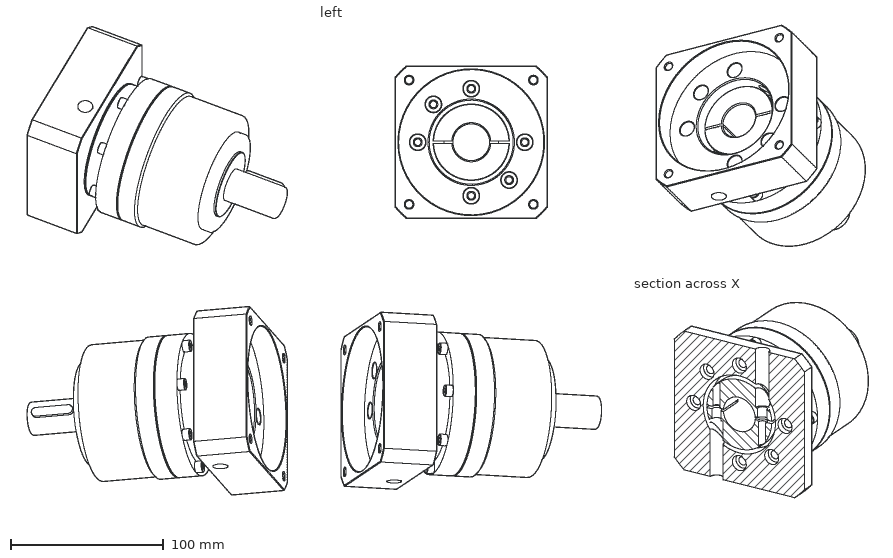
import cadquery as cq
import math


plate_side = 100.0
plate_thickness = 36.4
plate_corner_diameter = 131.0
plate_edge_chamfer = 0.5
spigot_diameter = 78.0
joint_x = 37.4
pilot_recess_diameter = 95.0
pilot_recess_depth = 15.5
pilot_recess_chamfer = 0.5
plate_bore_diameter = 55.0
plate_bore_chamfer = 0.8

motor_hole_circle = 115.0
motor_hole_angles = (45, 135, 225, 315)
motor_hole_diameter = 5.0
motor_hole_chamfer = 0.65
motor_hole_depth = 14.0

mount_hole_circle = 70.0
mount_hole_angles = (0, 45, 90, 180, 225, 270)
mount_head_diameter = 10.3
mount_head_chamfer = 0.35
mount_head_floor_x = 31.0
mount_clearance_diameter = 5.8

collar_start = 21.2
collar_end = 33.0
collar_diameter = 50.0
collar_chamfer = 0.3
hub_tube_diameter = 35.4
hub_end = 66.0
hub_bore_diameter = 24.0
hub_bore_chamfer = 0.8
hub_bore_depth = 40.0
hub_slot_width = 1.5
hub_slot_end = 45.0

clamp_screw_angles = (0, 180)
clamp_x = 27.0
clamp_y = -17.5
clamp_access_diameter = 9.8
clamp_seat_z = 8.0
clamp_clearance_diameter = 6.8
clamp_thread_diameter = 5.0
clamp_thread_depth = 18.7

flange_start = 48.4
flange_end = 76.5
flange_diameter = 93.6
flange_taper_length = 1.4
case_diameter = 90.0
case_end = 116.4
case_edge_radius = 1.5
pilot_diameter = 68.0
pilot_end = 122.5
pilot_edge_radius = 0.9
seal_diameter = 45.0
seal_end = 124.0
seal_chamfer = 0.3
shaft_diameter = 22.0
shaft_end = 160.5
shaft_edge_radius = 1.7
joint_chamfer = 0.25
groove_x = 63.9
groove_width = 1.0
groove_depth = 0.2

tapped_hole_diameter = 4.3
tapped_hole_depth = 10.0

screw_count = 8
screw_head_diameter = 7.5
screw_head_height = 4.8
screw_head_chamfer = 0.3
screw_socket_across_corners = 3.5
screw_socket_depth = 2.5
screw_circle = flange_diameter - screw_head_diameter

key_width = 6.0
key_length = 28.0
key_start = 128.5
key_top = 13.5
key_height = 6.0

drill_point_half_angle = 59.0


def along_x(x):
    """Workplane facing +X at position x, with local axes along Y and Z."""
    return cq.Workplane("YZ", origin=(x, 0, 0))


def rod(diameter, start, end):
    """Cylinder on the X axis."""
    return along_x(start).circle(diameter / 2).extrude(end - start)


def edge_cone(diameter, chamfer, start):
    """Cone that breaks the edge of a hole of the given diameter opening toward -X."""
    radius = diameter / 2
    outline = [(start, 0), (start, radius + chamfer), (start + chamfer, radius), (start + chamfer, 0)]
    return cq.Workplane("XY").polyline(outline).close().revolve(360, (0, 0, 0), (1, 0, 0))


def drill_point_length(diameter):
    """Height of the cone that a drill leaves at the bottom of a hole."""
    return diameter / 2 / math.tan(math.radians(drill_point_half_angle))


def drilled_hole(diameter, start, depth):
    """Blind drilled hole on the X axis with a conical bottom."""
    radius = diameter / 2
    bottom = start + depth
    outline = [(start, 0), (start, radius), (bottom, radius), (bottom + drill_point_length(diameter), 0)]
    return cq.Workplane("XY").polyline(outline).close().revolve(360, (0, 0, 0), (1, 0, 0))


def at_angle(tool, circle_diameter, angle):
    """Move a tool from the X axis out to a pitch circle; the angle runs from +Y toward +Z."""
    return tool.translate((0, circle_diameter / 2, 0)).rotate((0, 0, 0), (1, 0, 0), angle)


def make_plate():
    plate = along_x(0).rect(plate_side, plate_side).extrude(plate_thickness)
    plate = plate.intersect(rod(plate_corner_diameter, 0, plate_thickness))
    plate = plate.faces("<X or >X").chamfer(plate_edge_chamfer)
    neck = rod(spigot_diameter, plate_thickness, joint_x).faces(">X").chamfer(joint_chamfer)
    plate = plate.union(neck)

    plate = plate.cut(rod(pilot_recess_diameter, 0, pilot_recess_depth))
    plate = plate.cut(edge_cone(pilot_recess_diameter, pilot_recess_chamfer, 0))
    plate = plate.cut(rod(plate_bore_diameter, pilot_recess_depth, joint_x))
    plate = plate.cut(edge_cone(plate_bore_diameter, plate_bore_chamfer, pilot_recess_depth))

    motor_hole = drilled_hole(motor_hole_diameter, 0, motor_hole_depth)
    motor_hole = motor_hole.union(edge_cone(motor_hole_diameter, motor_hole_chamfer, 0))
    for angle in motor_hole_angles:
        plate = plate.cut(at_angle(motor_hole, motor_hole_circle, angle))

    mount_hole = rod(mount_head_diameter, pilot_recess_depth, mount_head_floor_x)
    mount_hole = mount_hole.union(edge_cone(mount_head_diameter, mount_head_chamfer, pilot_recess_depth))
    mount_hole = mount_hole.union(rod(mount_clearance_diameter, mount_head_floor_x, joint_x))
    for angle in mount_hole_angles:
        plate = plate.cut(at_angle(mount_hole, mount_hole_circle, angle))

    access = cq.Workplane("XY", origin=(clamp_x, clamp_y, 0))
    access = access.circle(clamp_access_diameter / 2).extrude(plate_side / 2)
    for angle in clamp_screw_angles:
        plate = plate.cut(access.rotate((0, 0, 0), (1, 0, 0), angle))
    return plate


def clamp_screw_hole():
    """Stepped hole for the clamp screw, running down through both halves of the collar."""
    thread = clamp_thread_diameter / 2
    clearance = clamp_clearance_diameter / 2
    seat = clamp_access_diameter / 2
    lower_face = -hub_slot_width / 2
    outline = [
        (0, -clamp_thread_depth - drill_point_length(clamp_thread_diameter)),
        (thread, -clamp_thread_depth),
        (thread, lower_face - (clearance - thread)),
        (clearance, lower_face),
        (clearance, clamp_seat_z),
        (seat, clamp_seat_z),
        (seat, collar_diameter / 2),
        (0, collar_diameter / 2),
    ]
    hole = cq.Workplane("XZ").polyline(outline).close().revolve(360, (0, 0, 0), (0, 1, 0))
    return hole.translate((clamp_x, clamp_y, 0))


def make_hub():
    hub = rod(collar_diameter, collar_start, collar_end).faces("<X").chamfer(collar_chamfer)
    hub = hub.union(rod(hub_tube_diameter, collar_end, hub_end))
    hub = hub.cut(rod(hub_bore_diameter, collar_start, collar_start + hub_bore_depth))
    hub = hub.cut(edge_cone(hub_bore_diameter, hub_bore_chamfer, collar_start))
    slot = along_x(collar_start).rect(collar_diameter, hub_slot_width).extrude(hub_slot_end - collar_start)
    hub = hub.cut(slot)
    for angle in clamp_screw_angles:
        hub = hub.cut(clamp_screw_hole().rotate((0, 0, 0), (1, 0, 0), angle))
    return hub


def screw_head():
    """Socket screw head standing on the flange face."""
    start = flange_start - screw_head_height
    head = rod(screw_head_diameter, start, flange_start).faces("<X").chamfer(screw_head_chamfer)
    socket = along_x(start).polygon(6, screw_socket_across_corners).extrude(screw_socket_depth)
    return head.cut(socket)


def make_key():
    centre = key_start + key_length / 2
    key = cq.Workplane("XZ", origin=(centre, key_top, 0)).slot2D(key_length, key_width)
    return key.extrude(key_height)


def rounded_step(profile, radius, end, edge_radius):
    """Continue a turned profile along a cylinder and round it over into the end face."""
    profile = profile.lineTo(end - edge_radius, radius)
    return profile.tangentArcPoint((end, radius - edge_radius), relative=False)


def stepped_body():
    """Turned gearbox body, from its motor face through the flange, case and pilot to the shaft end."""
    neck_radius = spigot_diameter / 2
    flange_radius = flange_diameter / 2
    case_radius = case_diameter / 2
    pilot_radius = pilot_diameter / 2
    seal_radius = seal_diameter / 2
    shaft_radius = shaft_diameter / 2

    profile = cq.Workplane("XY").moveTo(joint_x, 0).lineTo(joint_x, neck_radius - joint_chamfer)
    profile = profile.lineTo(joint_x + joint_chamfer, neck_radius).lineTo(flange_start, neck_radius)
    profile = profile.lineTo(flange_start, flange_radius)
    profile = profile.lineTo(groove_x - groove_width / 2, flange_radius)
    profile = profile.lineTo(groove_x, flange_radius - groove_depth)
    profile = profile.lineTo(groove_x + groove_width / 2, flange_radius)
    profile = profile.lineTo(flange_end, flange_radius)
    profile = profile.lineTo(flange_end + flange_taper_length, case_radius)
    profile = rounded_step(profile, case_radius, case_end, case_edge_radius)
    profile = profile.lineTo(case_end, pilot_radius)
    profile = rounded_step(profile, pilot_radius, pilot_end, pilot_edge_radius)
    profile = profile.lineTo(pilot_end, seal_radius).lineTo(seal_end - seal_chamfer, seal_radius)
    profile = profile.lineTo(seal_end, seal_radius - seal_chamfer).lineTo(seal_end, shaft_radius)
    profile = rounded_step(profile, shaft_radius, shaft_end, shaft_edge_radius)
    profile = profile.lineTo(shaft_end, 0).close()
    return profile.revolve(360, (0, 0, 0), (1, 0, 0))


def make_gearbox():
    gearbox = stepped_body()

    for index in range(screw_count):
        gearbox = gearbox.union(at_angle(screw_head(), screw_circle, index * 360 / screw_count))

    tapped_hole = drilled_hole(tapped_hole_diameter, joint_x, tapped_hole_depth)
    for angle in mount_hole_angles:
        gearbox = gearbox.cut(at_angle(tapped_hole, mount_hole_circle, angle))

    gearbox = gearbox.cut(rod(hub_tube_diameter, joint_x, hub_end))
    return gearbox.cut(make_key())


plate = make_plate()
hub = make_hub()
gearbox = make_gearbox()
key = make_key()

result = cq.Compound.makeCompound([plate.val(), hub.val(), gearbox.val(), key.val()])